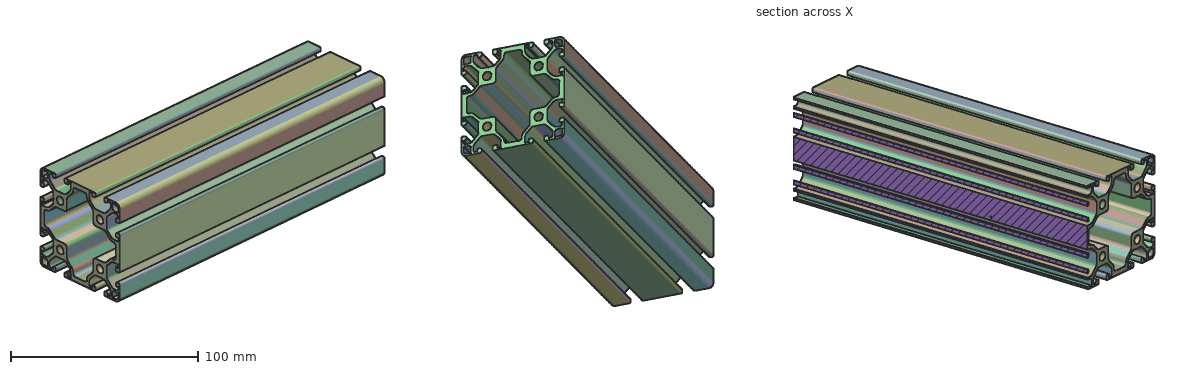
import cadquery as cq
import math

LENGTH = 200.0
SIDE = 60.0
CORNER_RADIUS = 3.0

SLOT_OFFSET = 15.0
BOSS_SIDE = 10.2
BOSS_FILLET = 2.0
BORE_DIAMETER = 5.0

SLOT_OPENING = 6.5
LIP_THICKNESS = 1.2
LIP_ROUND = 1.0
HOOK_WIDTH = 2.5
HOOK_DEPTH = 3.0
HOOK_ROUND = 1.2
OUTER_WALL_REACH = 8.2
INNER_WALL_REACH = 8.0
POCKET_FILLET = 1.5

PLATE_THICKNESS = 3.0
PLATE_FILLET = 1.8
SIDE_WALL = 1.8
WALL_BEND_RADIUS = 3.5
WEB_THICKNESS = 1.8
CORNER_WEB_THICKNESS = 2.2
WEB_FILLET = 2.2
CAVITY_WEB_FILLET = 3.0

TUBE_WALL = 1.3
TUBE_END = 5.5
TUBE_FILLET = 1.5

HALF_SIDE = SIDE / 2
BOSS_NEAR = SLOT_OFFSET - BOSS_SIDE / 2
BOSS_FAR = SLOT_OFFSET + BOSS_SIDE / 2
WEB_SHIFT = WEB_THICKNESS / math.sqrt(2)
CORNER_WEB_SHIFT = CORNER_WEB_THICKNESS / math.sqrt(2)


def round_corner(before, corner, after, radius):
    """Start, middle and end of the arc that rounds one corner of an outline."""
    point = cq.Vector(*corner)
    back = (cq.Vector(*before) - point).normalized()
    ahead = (cq.Vector(*after) - point).normalized()
    half_angle = back.getAngle(ahead) / 2
    setback = radius / math.tan(half_angle)
    centre_distance = radius / math.sin(half_angle)
    middle = point + (back + ahead).normalized() * (centre_distance - radius)
    return point + back * setback, middle, point + ahead * setback


def prism(corners):
    """Extrude a closed XZ outline of (x, z, corner radius) along the full length, centred on Y."""
    points = [(x, z) for x, z, _ in corners]
    outline = cq.Workplane("XZ")
    for i, (x, z, radius) in enumerate(corners):
        if radius:
            start, middle, end = round_corner(points[i - 1], (x, z), points[(i + 1) % len(points)], radius)
        else:
            start = cq.Vector(x, z)
        if i == 0:
            outline = outline.moveTo(start.x, start.y)
        else:
            outline = outline.lineTo(start.x, start.y)
        if radius:
            outline = outline.threePointArc((middle.x, middle.y), (end.x, end.y))
    return outline.close().extrude(LENGTH / 2, both=True)


def four_around(solid):
    """Four copies of a solid at quarter turns about the Y axis."""
    copies = solid
    for turn in (90, 180, 270):
        copies = copies.add(solid.rotate((0, 0, 0), (0, 1, 0), turn))
    return copies.combine()


def make_blank():
    blank = cq.Workplane("XY").box(SIDE, LENGTH, SIDE)
    return blank.edges("|Y").fillet(CORNER_RADIUS)


def make_slot():
    """Slot in the top face on the +X side; its outer wall runs beside the corner tube."""
    ceiling = HALF_SIDE - LIP_THICKNESS
    hook_tip = HALF_SIDE - HOOK_DEPTH
    outer_edge = SLOT_OFFSET + SLOT_OPENING / 2
    inner_edge = SLOT_OFFSET - SLOT_OPENING / 2
    outer_wall = SLOT_OFFSET + OUTER_WALL_REACH
    inner_wall = SLOT_OFFSET - INNER_WALL_REACH
    mouth_top = HALF_SIDE + LIP_ROUND
    mouth_margin = 2 * LIP_ROUND
    web_sum = BOSS_NEAR + BOSS_FAR + WEB_SHIFT
    return prism([
        (inner_edge - mouth_margin, mouth_top, 0),
        (outer_edge + mouth_margin, mouth_top, 0),
        (outer_edge + mouth_margin, HALF_SIDE, 0),
        (outer_edge, HALF_SIDE, LIP_ROUND),
        (outer_edge, hook_tip, HOOK_ROUND),
        (outer_edge + HOOK_WIDTH, hook_tip, HOOK_ROUND),
        (outer_edge + HOOK_WIDTH, ceiling, 0),
        (outer_wall, ceiling, POCKET_FILLET),
        (outer_wall, outer_wall + CORNER_WEB_SHIFT, WALL_BEND_RADIUS),
        (BOSS_FAR - CORNER_WEB_SHIFT, BOSS_FAR, WEB_FILLET),
        (web_sum - BOSS_FAR, BOSS_FAR, WEB_FILLET),
        (inner_wall, web_sum - inner_wall, WALL_BEND_RADIUS),
        (inner_wall, ceiling, 0),
        (inner_edge - HOOK_WIDTH, ceiling, 0),
        (inner_edge - HOOK_WIDTH, hook_tip, 0),
        (inner_edge, hook_tip, HOOK_ROUND),
        (inner_edge, HALF_SIDE, LIP_ROUND),
        (inner_edge - mouth_margin, HALF_SIDE, 0),
    ])


def make_middle_cavity():
    """Cross-shaped void between the four bosses and the four middle plates."""
    ceiling = HALF_SIDE - PLATE_THICKNESS
    wall = SLOT_OFFSET - INNER_WALL_REACH - SIDE_WALL
    web_sum = BOSS_NEAR + BOSS_FAR - WEB_SHIFT
    upper_half = [
        (wall, ceiling, PLATE_FILLET),
        (wall, web_sum - wall, WALL_BEND_RADIUS),
        (BOSS_NEAR, web_sum - BOSS_NEAR, CAVITY_WEB_FILLET),
    ]
    lower_half = [(z, x, radius) for x, z, radius in reversed(upper_half)]
    quadrant = upper_half + [(BOSS_NEAR, BOSS_NEAR, BOSS_FILLET)] + lower_half
    outline = []
    for _ in range(4):
        outline += quadrant
        quadrant = [(z, -x, radius) for x, z, radius in quadrant]
    return prism(outline)


def make_corner_tube():
    """Square void in the +X +Z corner; its rounded outer corner follows the outer face."""
    near = HALF_SIDE - TUBE_END
    far = HALF_SIDE - TUBE_WALL
    return prism([
        (near, far, 0),
        (near, near, TUBE_FILLET),
        (far, near, 0),
        (far, far, CORNER_RADIUS - TUBE_WALL),
    ])


def make_bore():
    bore = cq.Workplane("XZ").center(SLOT_OFFSET, SLOT_OFFSET).circle(BORE_DIAMETER / 2)
    return bore.extrude(LENGTH / 2, both=True)


slot = make_slot()
result = make_blank()
for void in (slot, slot.mirror("YZ"), make_corner_tube(), make_bore()):
    result = result.cut(four_around(void))
result = result.cut(make_middle_cavity())